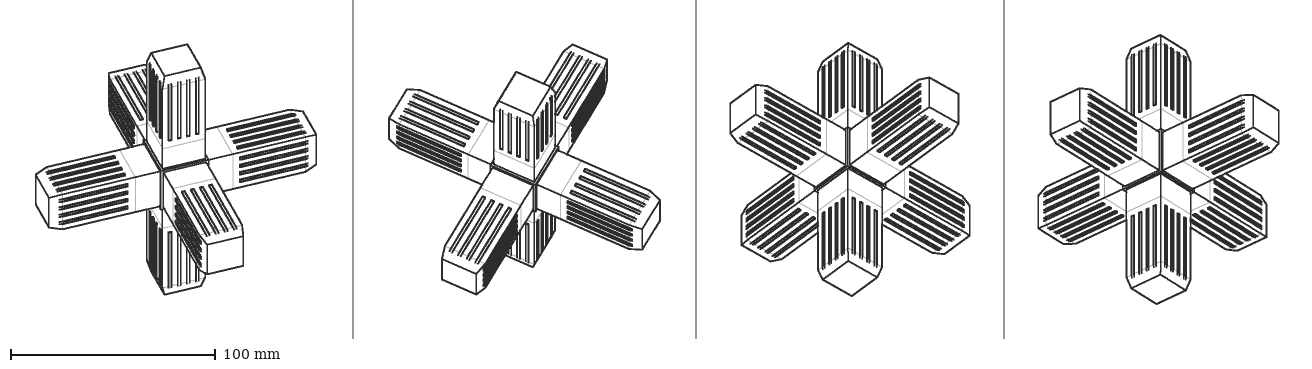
import cadquery as cq

overall_length = 139.4
core_side = 24.8

arm_side = 22.3
base_end = 25.4
tip_side = 19.0
tip_length = 6.4

groove_count = 4
groove_pitch = 4.7
groove_width = 1.5
groove_length = 35.5
groove_tip_gap = 4.9

arm_end = overall_length / 2
taper_start = arm_end - tip_length
taper_inset = (arm_side - tip_side) / 2
groove_depth = taper_inset * (tip_length - groove_tip_gap) / tip_length

X_AXIS = (1, 0, 0)
Y_AXIS = (0, 1, 0)
Z_AXIS = (0, 0, 1)


def turned(shape, axis, angle):
    return shape.rotate((0, 0, 0), axis, angle)


def groove_cutters():
    """Bars that cut the grooves into the +X side of an upright arm."""
    groove_centre = arm_end - groove_tip_gap - groove_length / 2
    return (
        cq.Workplane("XY", origin=(arm_side / 2, 0, groove_centre))
        .rarray(1.4, groove_pitch, 1, groove_count)
        .box(2 * groove_depth, groove_width, groove_length)
    )


def make_plug():
    """Outer part of the arm along +Z, grooved on all four sides."""
    plug = (
        cq.Workplane("XY", origin=(0, 0, base_end))
        .rect(arm_side, arm_side)
        .extrude(taper_start - base_end)
    )
    tip = (
        cq.Workplane("XY", origin=(0, 0, taper_start))
        .rect(arm_side, arm_side)
        .workplane(offset=tip_length)
        .rect(tip_side, tip_side)
        .loft(ruled=True)
    )
    plug = plug.union(tip)
    cutters = groove_cutters()
    for angle in (0, 90, 180, 270):
        plug = plug.cut(turned(cutters, Z_AXIS, angle))
    return plug


def make_arm():
    """Base block and plug along +Z, keeping the seam between them."""
    base = cq.Workplane("XY").rect(arm_side, arm_side).extrude(base_end)
    return base.union(make_plug(), clean=False)


arm = make_arm()
result = cq.Workplane("XY").box(core_side, core_side, core_side)
for axis, angle in (
    (Z_AXIS, 0),
    (X_AXIS, 180),
    (X_AXIS, 90),
    (X_AXIS, -90),
    (Y_AXIS, 90),
    (Y_AXIS, -90),
):
    result = result.union(turned(arm, axis, angle), clean=False)